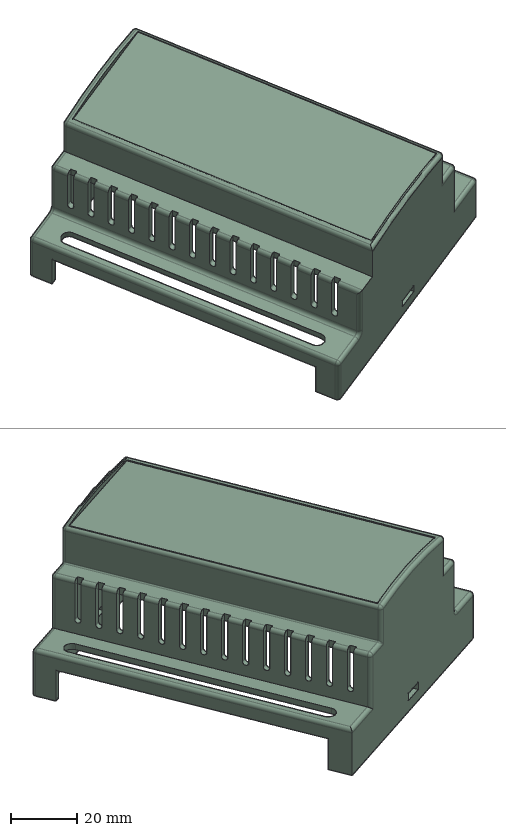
import cadquery as cq

length = 107
depth = 87.0
shoulder_depth = 30.0
crown_depth = 22.5
ledge_height = 16.5
shoulder_height = 35.5
crown_height = 49.9
crown_rise = 1.8
edge_radius = 1.3
rear_corner_radius = 0.4

wall = 2.0
roof = 2.5
ledge_thickness = 2.0

lid_recess_x = (-51.4, 51.7)
lid_recess_y = (-19.9, 21.0)

foot_length = 8.0
foot_height = 11.0

vent_count = 14
vent_width = 2.0
vent_bottom = 20.4
first_vent = 7.0
last_vent = 98.0

terminal_slot_length = 90.5
terminal_slot_width = 5.0
terminal_slot_offset = 37.8

window_width = 7.0
window_bottom = 4.0
window_height = 2.6

ledge_depth = depth / 2
crown_edge_height = crown_height - crown_rise
lid_recess_floor = crown_edge_height
half_length = length / 2
tolerance = 0.01


def box(x_range, y_range, z_range):
    """Axis-aligned box between the given limits."""
    (x0, x1), (y0, y1), (z0, z1) = x_range, y_range, z_range
    return cq.Workplane("XY").box(x1 - x0, y1 - y0, z1 - z0, centered=False).translate((x0, y0, z0))


def symmetric(size):
    """Limits of a span centred on zero."""
    return (-size / 2, size / 2)


def make_block():
    """Solid three-tier prism with a curved lid."""
    return (
        cq.Workplane("YZ", origin=(-half_length, 0, 0))
        .moveTo(-ledge_depth, 0)
        .lineTo(-ledge_depth, ledge_height)
        .lineTo(-shoulder_depth, ledge_height)
        .lineTo(-shoulder_depth, shoulder_height)
        .lineTo(-crown_depth, shoulder_height)
        .lineTo(-crown_depth, crown_edge_height)
        .threePointArc((0, crown_height), (crown_depth, crown_edge_height))
        .lineTo(crown_depth, shoulder_height)
        .lineTo(shoulder_depth, shoulder_height)
        .lineTo(shoulder_depth, ledge_height)
        .lineTo(ledge_depth, ledge_height)
        .lineTo(ledge_depth, 0)
        .close()
        .extrude(length)
    )


def is_rounded(edge):
    """True for every edge of the block that carries a fillet."""
    center = edge.Center()
    x, y, z = center.x, center.y, center.z
    if z < tolerance:
        return False
    if abs(x) < tolerance:
        at_inner_shoulder = abs(z - shoulder_height) < tolerance and abs(abs(y) - crown_depth) < tolerance
        at_inner_ledge = abs(z - ledge_height) < tolerance and abs(y - shoulder_depth) < tolerance
        return not (at_inner_shoulder or at_inner_ledge)
    if x < 0:
        return abs(y - ledge_depth) > tolerance
    crown_corner = abs(y + crown_depth) < tolerance
    shoulder_top = abs(z - shoulder_height) < tolerance and y < 0
    return not (crown_corner or shoulder_top)


def round_edges(block):
    """Round the block's edges, then soften the inner corner behind the crown."""
    edges = [edge for edge in block.edges().vals() if is_rounded(edge)]
    rounded = block.newObject(edges).fillet(edge_radius)
    rear_corner = cq.selectors.NearestToPointSelector((0, crown_depth, shoulder_height))
    return rounded.edges(rear_corner).fillet(rear_corner_radius)


def make_cavity():
    """Stepped hollow, open at the bottom."""
    half_depths = (ledge_depth, shoulder_depth, crown_depth)
    ceilings = (ledge_height - ledge_thickness, shoulder_height - roof, crown_edge_height - roof)
    cavity = cq.Workplane("XY")
    for half_depth, ceiling in zip(half_depths, ceilings):
        cavity = cavity.union(
            box(symmetric(length - 2 * wall), symmetric(2 * (half_depth - wall)), (0, ceiling))
        )
    return cavity


def make_lid_recess():
    return box(lid_recess_x, lid_recess_y, (lid_recess_floor, crown_height))


def make_foot_gap():
    """Opening between the end feet, through the front and back walls."""
    return box(symmetric(length - 2 * foot_length), symmetric(2 * ledge_depth), (0, foot_height))


def make_vents():
    """Round-bottomed slots cut into the front and back shoulder walls."""
    pitch = (last_vent - first_vent) / (vent_count - 1)
    radius = vent_width / 2
    vents = cq.Workplane("XY")
    for index in range(vent_count):
        x = first_vent + index * pitch - half_length
        for wall_start in (-shoulder_depth, shoulder_depth - wall):
            y_range = (wall_start, wall_start + wall)
            slot = box((x - radius, x + radius), y_range, (vent_bottom + radius, shoulder_height))
            end = (
                cq.Workplane("XZ", origin=(x, wall_start + wall, vent_bottom + radius))
                .circle(radius)
                .extrude(wall)
            )
            vents = vents.add(slot.union(end))
    return vents.combine()


def make_terminal_slots():
    return (
        cq.Workplane("XY", origin=(0, 0, ledge_height - ledge_thickness))
        .pushPoints([(0, -terminal_slot_offset), (0, terminal_slot_offset)])
        .slot2D(terminal_slot_length, terminal_slot_width)
        .extrude(ledge_thickness)
    )


def make_end_windows():
    return box(
        symmetric(length),
        symmetric(window_width),
        (window_bottom, window_bottom + window_height),
    )


result = (
    round_edges(make_block())
    .cut(make_cavity())
    .cut(make_lid_recess())
    .cut(make_foot_gap())
    .cut(make_vents())
    .cut(make_terminal_slots())
    .cut(make_end_windows())
)